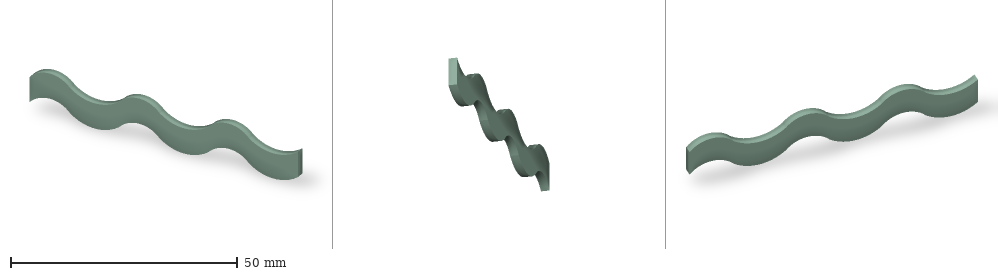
import cadquery as cq

length = 68.85
thickness = 2.0
height = 10.7

wave_count = 3
crest_width = 10.45
crest_rise = 2.3
band_height = 6.3

pitch = length / wave_count
trough_width = pitch - crest_width
trough_drop = height - band_height - crest_rise

left = -length / 2
right = length / 2
upper_joint_z = height / 2 - crest_rise
lower_joint_z = upper_joint_z - band_height


def add_upper_edge(outline):
    """Draw the upper wavy edge from left to right."""
    for wave in range(wave_count):
        start = left + wave * pitch
        joint = start + crest_width
        end = start + pitch
        crest_top = (start + crest_width / 2, upper_joint_z + crest_rise)
        trough_bottom = (joint + trough_width / 2, upper_joint_z - trough_drop)
        outline = outline.threePointArc(crest_top, (joint, upper_joint_z))
        outline = outline.threePointArc(trough_bottom, (end, upper_joint_z))
    return outline


def add_lower_edge(outline):
    """Draw the matching lower edge from right to left."""
    for wave in reversed(range(wave_count)):
        start = left + wave * pitch
        joint = start + crest_width
        crest_top = (start + crest_width / 2, lower_joint_z + crest_rise)
        trough_bottom = (joint + trough_width / 2, lower_joint_z - trough_drop)
        outline = outline.threePointArc(trough_bottom, (joint, lower_joint_z))
        outline = outline.threePointArc(crest_top, (start, lower_joint_z))
    return outline


outline = cq.Workplane("XZ").moveTo(left, upper_joint_z)
outline = add_upper_edge(outline)
outline = outline.lineTo(right, lower_joint_z)
outline = add_lower_edge(outline)

result = outline.close().extrude(thickness / 2, both=True)